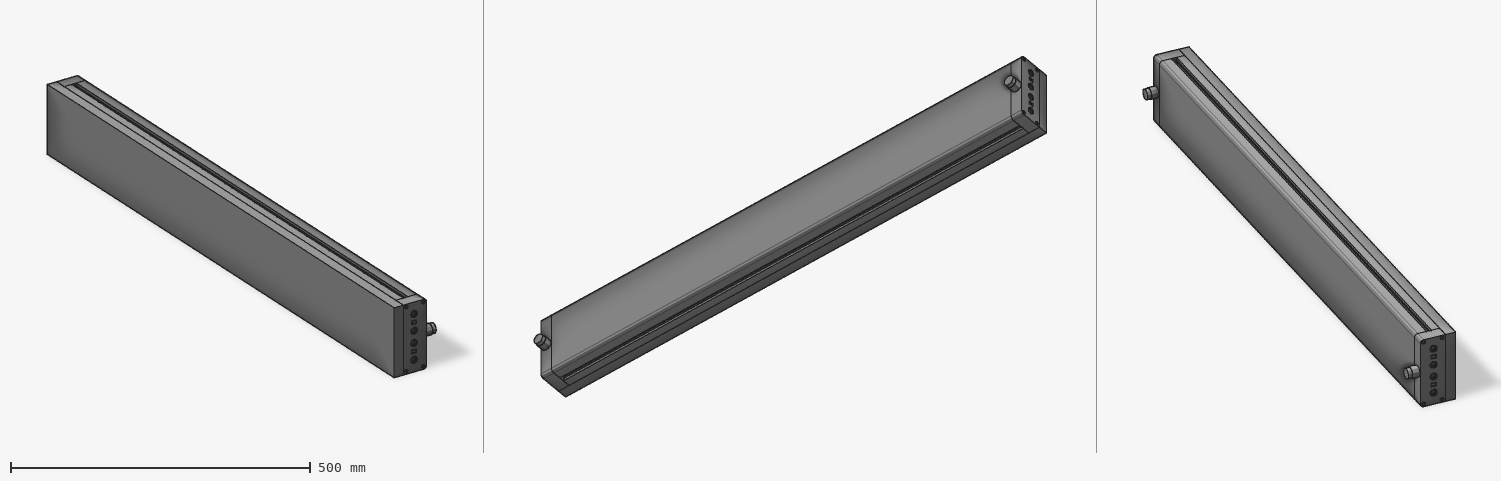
import cadquery as cq

LENGTH = 1036.0
HEIGHT = 130.0
DEPTH = 86.0
HOUSING_DEPTH = 65.0

PLATE_THICKNESS = 19.0

CAP_WIDTH = 23.0
EDGE_RADIUS = 6.0
GROOVE_WIDTH = 9.0
GROOVE_LIP = 5.0
GROOVE_DEPTH = 12.0
GROOVE_CHANNEL_WIDTH = 16.0
GROOVE_CENTER_Y = 38.0

SLEEVE_DIAMETER = 21.0
SLEEVE_LENGTH = 13.0
TIP_DIAMETER = 19.0

SCREW_DIAMETER = 6.0
SCREW_DEPTH = 2.0
SCREW_EDGE_Z = 5.0
SCREW_INSET_Y = 6.0

PORT_Y = 40.0
PORT_GROUP_Z = 27.0
PORT_SPACING = 31.0
PORT_DIAMETER = 12.0
PORT_STEP_DEPTH = 2.0
PORT_BORE_DIAMETER = 9.0
PORT_BORE_DEPTH = 5.0
WINDOW_WIDTH = 9.0
WINDOW_HEIGHT = 6.0
WINDOW_DEPTH = 2.0

BODY_DEPTH = HOUSING_DEPTH - PLATE_THICKNESS
BODY_CENTER_Y = (HOUSING_DEPTH + PLATE_THICKNESS) / 2
TIP_LENGTH = DEPTH - HOUSING_DEPTH - SLEEVE_LENGTH


def rounded_bar(x_start, length):
    """Bar behind the plate, along X, with its top and bottom rear edges rounded."""
    return (
        cq.Workplane("XY")
        .box(length, BODY_DEPTH, HEIGHT, centered=(False, True, True))
        .translate((x_start, BODY_CENTER_Y, 0))
        .edges("|X and >Y")
        .fillet(EDGE_RADIUS)
    )


def make_front_plate():
    return cq.Workplane("XY").box(LENGTH, PLATE_THICKNESS, HEIGHT, centered=(True, False, True))


def make_t_groove(length, side):
    """T-shaped groove volume along X, opening at the top face (side 1) or the bottom face (side -1)."""
    mouth = cq.Workplane("XY").box(length, GROOVE_WIDTH, GROOVE_LIP)
    mouth = mouth.translate((0, GROOVE_CENTER_Y, side * (HEIGHT - GROOVE_LIP) / 2))
    channel_height = GROOVE_DEPTH - GROOVE_LIP
    channel_z = HEIGHT / 2 - GROOVE_LIP - channel_height / 2
    channel = cq.Workplane("XY").box(length, GROOVE_CHANNEL_WIDTH, channel_height)
    channel = channel.translate((0, GROOVE_CENTER_Y, side * channel_z))
    return mouth.union(channel)


def make_profile():
    length = LENGTH - 2 * CAP_WIDTH
    profile = rounded_bar(-length / 2, length)
    for side in (1, -1):
        profile = profile.cut(make_t_groove(length, side))
    return profile


def cylinder_along_y(diameter, y_start, length, x):
    """Cylinder at mid-height, starting at y_start and running toward the rear."""
    return cq.Workplane(
        cq.Solid.makeCylinder(diameter / 2, length, cq.Vector(x, y_start, 0), cq.Vector(0, 1, 0))
    )


def make_connector(x):
    sleeve = cylinder_along_y(SLEEVE_DIAMETER, HOUSING_DEPTH, SLEEVE_LENGTH, x)
    tip = cylinder_along_y(TIP_DIAMETER, HOUSING_DEPTH + SLEEVE_LENGTH, TIP_LENGTH, x)
    return sleeve.union(tip)


def end_face_plane():
    """Plane on the left cap's end face: local x is world Y, local y is world Z, normal points inward."""
    return cq.Workplane("YZ", origin=(-LENGTH / 2, 0, 0))


def cut_screw_recesses(cap):
    screw_z = HEIGHT / 2 - SCREW_EDGE_Z
    screw_points = [
        (y, z)
        for y in (PLATE_THICKNESS + SCREW_INSET_Y, HOUSING_DEPTH - SCREW_INSET_Y)
        for z in (screw_z, -screw_z)
    ]
    recesses = end_face_plane().pushPoints(screw_points).circle(SCREW_DIAMETER / 2).extrude(SCREW_DEPTH)
    return cap.cut(recesses)


def cut_port_group(cap, group_z):
    port_points = [(PORT_Y, group_z + side * PORT_SPACING / 2) for side in (1, -1)]
    steps = end_face_plane().pushPoints(port_points).circle(PORT_DIAMETER / 2).extrude(PORT_STEP_DEPTH)
    bores = end_face_plane().pushPoints(port_points).circle(PORT_BORE_DIAMETER / 2).extrude(PORT_BORE_DEPTH)
    window = end_face_plane().center(PORT_Y, group_z).rect(WINDOW_WIDTH, WINDOW_HEIGHT).extrude(WINDOW_DEPTH)
    return cap.cut(steps).cut(bores).cut(window)


def make_left_cap():
    cap = rounded_bar(-LENGTH / 2, CAP_WIDTH)
    cap = cut_screw_recesses(cap)
    for group_z in (PORT_GROUP_Z, -PORT_GROUP_Z):
        cap = cut_port_group(cap, group_z)
    return cap.union(make_connector((CAP_WIDTH - LENGTH) / 2))


front_plate = make_front_plate()
profile = make_profile()
left_cap = make_left_cap()
right_cap = left_cap.mirror("YZ")

result = cq.Compound.makeCompound([
    front_plate.val(),
    profile.val(),
    left_cap.val(),
    right_cap.val(),
])